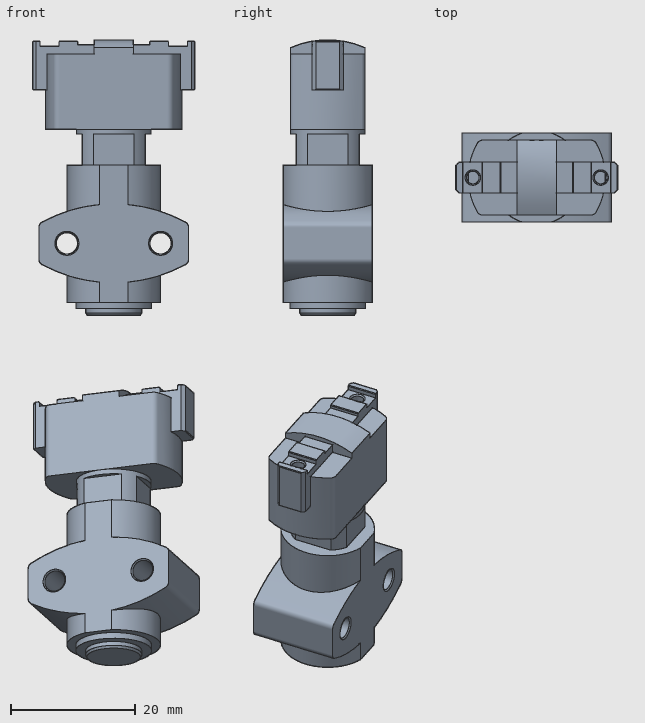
import cadquery as cq
import math

BARREL_DIAMETER = 15.0
HOUSING_DEPTH = 14.3
HOUSING_BOTTOM = 2.05
HOUSING_TOP = 24.05
FLANGE_CENTRE_Z = 11.52
FLANGE_HALF_LENGTH = 12.0
FLANGE_HALF_HEIGHT = 6.3
FLANGE_ARC_RADIUS = 24.3
FLANGE_CORNER_RADIUS = 1.0
MOUNT_HOLE_DIAMETER = 3.4
MOUNT_HOLE_MOUTH_DIAMETER = 3.85
MOUNT_HOLE_X = BARREL_DIAMETER / 2

SPIGOT_DISC_DIAMETER = 12.15
SPIGOT_TIP_DIAMETER = 9.0
SPIGOT_TIP_TOP = 1.05
SPIGOT_CHAMFER_HEIGHT = 0.4
SPIGOT_CHAMFER_WIDTH = 0.2

NECK_DIAMETER = 12.0
NECK_ACROSS_FLATS = 10.15
NECK_FLATS_TOP = 29.0

HEAD_DIAMETER = 22.0
HEAD_DEPTH = NECK_DIAMETER
HEAD_BOTTOM = 29.8
HEAD_TOP = 41.9
HEAD_CORNER_RADIUS = 1.0
BRIDGE_WIDTH = 6.25
BRIDGE_SIDE_Z = 42.85
BRIDGE_TOP = 44.15

CLIP_LENGTH = 26.0
CLIP_WIDTH = 5.0
CLIP_BOTTOM = 36.1
CLIP_TOP = 43.95
CLIP_STRIP_TOP = 43.35
CLIP_NOTCH_FLOOR = 43.15
CLIP_BLOCK_INNER_X = 5.75
CLIP_NOTCH_INNER_X = 8.8
CLIP_NOTCH_OUTER_X = 11.8
CLIP_CORNER_CHAMFER = 0.57
CLIP_EDGE_CHAMFER = 0.15
CLIP_HOLE_X = 10.25
CLIP_HOLE_DIAMETER = 2.05
CLIP_HOLE_MOUTH_DIAMETER = 2.47


def cylinder(diameter, bottom, top):
    return cq.Workplane("XY").workplane(offset=bottom).circle(diameter / 2).extrude(top - bottom)


def block(length, depth, bottom, top):
    return cq.Workplane("XY").workplane(offset=bottom).rect(length, depth).extrude(top - bottom)


def extrude_along_y(outline, depth):
    """Extrude a closed XZ outline, centred on Y = 0."""
    return outline.extrude(depth / 2, both=True)


def flange_end_half_height():
    drop = FLANGE_ARC_RADIUS - math.sqrt(FLANGE_ARC_RADIUS**2 - FLANGE_HALF_LENGTH**2)
    return FLANGE_HALF_HEIGHT - drop


def make_flange():
    end = flange_end_half_height()
    top = FLANGE_CENTRE_Z + FLANGE_HALF_HEIGHT
    bottom = FLANGE_CENTRE_Z - FLANGE_HALF_HEIGHT
    outline = (
        cq.Workplane("XZ")
        .moveTo(-FLANGE_HALF_LENGTH, FLANGE_CENTRE_Z + end)
        .threePointArc((0, top), (FLANGE_HALF_LENGTH, FLANGE_CENTRE_Z + end))
        .lineTo(FLANGE_HALF_LENGTH, FLANGE_CENTRE_Z - end)
        .threePointArc((0, bottom), (-FLANGE_HALF_LENGTH, FLANGE_CENTRE_Z - end))
        .close()
    )
    return extrude_along_y(outline, HOUSING_DEPTH).edges("|Y").fillet(FLANGE_CORNER_RADIUS)


def make_spigot():
    tip = cylinder(SPIGOT_TIP_DIAMETER, 0, SPIGOT_TIP_TOP)
    tip = tip.faces("<Z").chamfer(SPIGOT_CHAMFER_HEIGHT, SPIGOT_CHAMFER_WIDTH)
    return tip.union(cylinder(SPIGOT_DISC_DIAMETER, SPIGOT_TIP_TOP, HOUSING_BOTTOM))


def make_mount_holes():
    """Through holes along Y, with a small chamfer at both mouths."""
    chamfer = (MOUNT_HOLE_MOUTH_DIAMETER - MOUNT_HOLE_DIAMETER) / 2
    face = HOUSING_DEPTH / 2
    profile = [
        (0, -face),
        (MOUNT_HOLE_MOUTH_DIAMETER / 2, -face),
        (MOUNT_HOLE_DIAMETER / 2, -face + chamfer),
        (MOUNT_HOLE_DIAMETER / 2, face - chamfer),
        (MOUNT_HOLE_MOUTH_DIAMETER / 2, face),
        (0, face),
    ]
    hole = cq.Workplane("XY").polyline(profile).close().revolve(360, (0, 0, 0), (0, 1, 0))
    left = hole.translate((-MOUNT_HOLE_X, 0, FLANGE_CENTRE_Z))
    right = hole.translate((MOUNT_HOLE_X, 0, FLANGE_CENTRE_Z))
    return left.union(right)


def make_housing():
    barrel = cylinder(BARREL_DIAMETER, HOUSING_BOTTOM, HOUSING_TOP)
    barrel = barrel.intersect(block(BARREL_DIAMETER, HOUSING_DEPTH, HOUSING_BOTTOM, HOUSING_TOP))
    return barrel.union(make_flange()).union(make_spigot()).cut(make_mount_holes())


def make_neck():
    flats = block(NECK_ACROSS_FLATS, NECK_ACROSS_FLATS, HOUSING_TOP, NECK_FLATS_TOP)
    shank = cylinder(NECK_DIAMETER, HOUSING_TOP, NECK_FLATS_TOP).intersect(flats)
    collar = cylinder(NECK_DIAMETER, NECK_FLATS_TOP, HEAD_BOTTOM)
    return shank.union(collar)


def make_head_block():
    slab = block(HEAD_DIAMETER, HEAD_DEPTH, HEAD_BOTTOM, HEAD_TOP)
    rounded = cylinder(HEAD_DIAMETER, HEAD_BOTTOM, HEAD_TOP).intersect(slab)
    return rounded.edges("|Z").fillet(HEAD_CORNER_RADIUS)


def make_bridge():
    half_depth = HEAD_DEPTH / 2
    return (
        cq.Workplane("YZ")
        .moveTo(-half_depth, HEAD_TOP)
        .lineTo(-half_depth, BRIDGE_SIDE_Z)
        .threePointArc((0, BRIDGE_TOP), (half_depth, BRIDGE_SIDE_Z))
        .lineTo(half_depth, HEAD_TOP)
        .close()
        .extrude(BRIDGE_WIDTH / 2, both=True)
    )


def make_head():
    clip_passage = block(BRIDGE_WIDTH, CLIP_WIDTH, HEAD_TOP, CLIP_STRIP_TOP)
    return make_head_block().union(make_bridge().cut(clip_passage))


def make_clip_blank():
    """Strip and arms with the stepped top, still solid where the head goes."""
    end = CLIP_LENGTH / 2
    chamfer = CLIP_EDGE_CHAMFER
    right_steps = [
        (CLIP_BLOCK_INNER_X, CLIP_STRIP_TOP),
        (CLIP_BLOCK_INNER_X, CLIP_TOP - chamfer),
        (CLIP_BLOCK_INNER_X + chamfer, CLIP_TOP),
        (CLIP_NOTCH_INNER_X - chamfer, CLIP_TOP),
        (CLIP_NOTCH_INNER_X, CLIP_TOP - chamfer),
        (CLIP_NOTCH_INNER_X, CLIP_NOTCH_FLOOR),
        (CLIP_NOTCH_OUTER_X, CLIP_NOTCH_FLOOR),
        (CLIP_NOTCH_OUTER_X, CLIP_TOP - chamfer),
        (CLIP_NOTCH_OUTER_X + chamfer, CLIP_TOP),
        (end - chamfer, CLIP_TOP),
        (end, CLIP_TOP - chamfer),
        (end, CLIP_BOTTOM + chamfer),
        (end - chamfer, CLIP_BOTTOM),
    ]
    left_steps = [(-x, z) for x, z in reversed(right_steps)]
    outline = cq.Workplane("XZ").polyline(left_steps + right_steps).close()
    plan = block(CLIP_LENGTH, CLIP_WIDTH, CLIP_BOTTOM, CLIP_TOP)
    plan = plan.edges("|Z").chamfer(CLIP_CORNER_CHAMFER)
    return extrude_along_y(outline, CLIP_WIDTH).intersect(plan)


def make_clip_hole(x):
    """Screw hole through the strip, down to the level of the head's top face."""
    mouth_depth = (CLIP_HOLE_MOUTH_DIAMETER - CLIP_HOLE_DIAMETER) / 2
    profile = [
        (0, HEAD_TOP),
        (CLIP_HOLE_DIAMETER / 2, HEAD_TOP),
        (CLIP_HOLE_DIAMETER / 2, CLIP_NOTCH_FLOOR - mouth_depth),
        (CLIP_HOLE_MOUTH_DIAMETER / 2, CLIP_NOTCH_FLOOR),
        (0, CLIP_NOTCH_FLOOR),
    ]
    hole = cq.Workplane("XZ").polyline(profile).close().revolve(360, (0, 0, 0), (0, 1, 0))
    return hole.translate((x, 0, 0))


def make_clip():
    clip = make_clip_blank().cut(cylinder(HEAD_DIAMETER, CLIP_BOTTOM, HEAD_TOP))
    for x in (-CLIP_HOLE_X, CLIP_HOLE_X):
        clip = clip.cut(make_clip_hole(x))
    return clip


housing = make_housing()
neck = make_neck()
head = make_head()
clip = make_clip()

result = cq.Compound.makeCompound([housing.val(), neck.val(), head.val(), clip.val()])